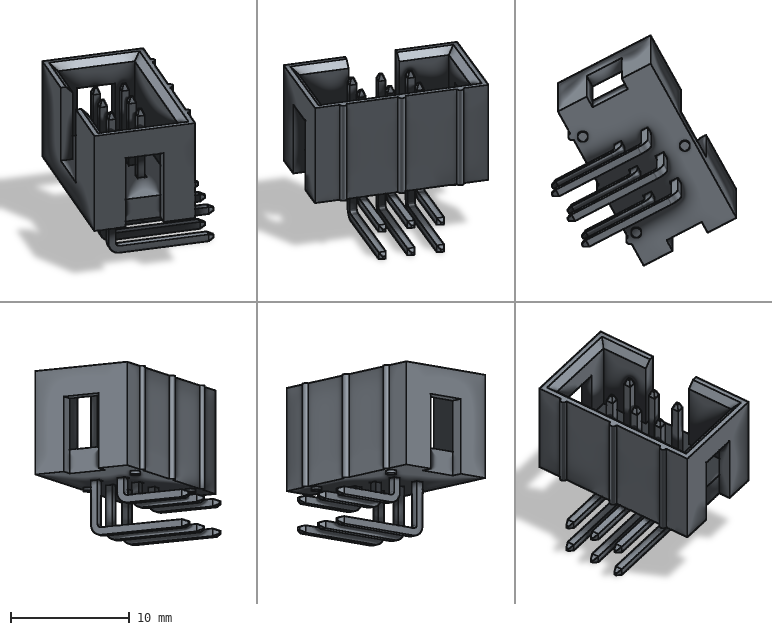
import cadquery as cq

length = 15.28
depth = 8.85
height = 8.85
wall = 1.05
floor_thickness = 2.05
mouth_chamfer = 0.6

notch_width = 4.45

window_width = 3.35
window_top = 6.42

rib_spacing = 5.15
center_rib_radius = 0.34
outer_rib_radius = 0.3

standoff_diameter = 0.87
standoff_height = 0.26
standoff_spacing = 4.75
standoff_offset_y = 3.59

pitch = 2.54
pin_width = 0.64
pin_tip_width = 0.25
pin_taper = 0.5
pin_top = 8.3
tail_bottom = -4.7
overall_depth = 12.12
tail_end = overall_depth - depth / 2
bend_inner_radius = pin_width / 2
bend_outer_radius = bend_inner_radius + pin_width

columns = [-pitch, 0.0, pitch]
front_row = -pitch / 2
back_row = pitch / 2
tail_bottoms = {front_row: tail_bottom, back_row: tail_bottom + pitch}
column_shifts = {-pitch: 0.0, 0.0: 0.15, pitch: 0.15}


def box(size_x, size_y, bottom, top, x=0.0, y=0.0):
    """Upright box centred on (x, y) between two heights."""
    return cq.Workplane("XY", origin=(x, y, bottom)).rect(size_x, size_y).extrude(top - bottom)


def cylinder(x, y, radius, bottom, top):
    """Upright cylinder between two heights."""
    return cq.Workplane("XY", origin=(x, y, bottom)).circle(radius).extrude(top - bottom)


def make_shell():
    """Open-topped box with a bevelled mouth."""
    cavity_length = length - 2 * wall
    cavity_depth = depth - 2 * wall
    cavity = box(cavity_length, cavity_depth, floor_thickness, height)
    mouth = (
        cq.Workplane("XY", origin=(0, 0, height - mouth_chamfer))
        .rect(cavity_length, cavity_depth)
        .workplane(offset=mouth_chamfer)
        .rect(cavity_length + 2 * mouth_chamfer, cavity_depth + 2 * mouth_chamfer)
        .loft(ruled=True)
    )
    return box(length, depth, 0, height).cut(cavity).cut(mouth)


def make_housing():
    """Shell with its notch, windows, ribs, standoffs and pin holes."""
    housing = make_shell()

    notch = box(notch_width, wall, floor_thickness, height, y=(wall - depth) / 2)
    housing = housing.cut(notch)

    for side in (-1, 1):
        window = box(wall, window_width, 0, window_top, x=side * (length - wall) / 2)
        housing = housing.cut(window)

    housing = housing.union(cylinder(0, depth / 2, center_rib_radius, 0, height))
    for x in (-rib_spacing, rib_spacing):
        housing = housing.union(cylinder(x, depth / 2, outer_rib_radius, 0, height))

    standoff_centers = [
        (0, -standoff_offset_y),
        (-standoff_spacing, standoff_offset_y),
        (standoff_spacing, standoff_offset_y),
    ]
    for x, y in standoff_centers:
        housing = housing.union(cylinder(x, y, standoff_diameter / 2, -standoff_height, 0))

    for x in columns:
        shift = column_shifts[x]
        for y in (front_row, back_row):
            hole = box(pin_width, pin_width + shift, 0, floor_thickness, x=x, y=y - shift / 2)
            housing = housing.cut(hole)
    return housing


def make_pin_tip(plane):
    """Square tapered point growing from the origin of a plane."""
    return (
        cq.Workplane(plane)
        .rect(pin_width, pin_width)
        .workplane(offset=pin_taper)
        .rect(pin_tip_width, pin_tip_width)
        .loft(ruled=True)
    )


def make_pin(x, row_y, shift):
    """L-shaped pin: upright leg, rounded bend and a tail toward +Y."""
    bottom = tail_bottoms[row_y]
    front = row_y - pin_width / 2
    back = row_y + pin_width / 2
    tail_top = bottom + pin_width
    leg_top = pin_top - pin_taper
    shoulder = tail_end - pin_taper
    bend_y = back + bend_inner_radius
    bend_z = tail_top + bend_inner_radius

    bar = (
        cq.Workplane("YZ", origin=(-pin_width / 2, 0, 0))
        .moveTo(front, leg_top)
        .lineTo(front, bend_z)
        .radiusArc((bend_y, bottom), -bend_outer_radius)
        .lineTo(shoulder, bottom)
        .lineTo(shoulder, tail_top)
        .lineTo(bend_y, tail_top)
        .radiusArc((back, bend_z), bend_inner_radius)
        .lineTo(back, leg_top)
        .close()
        .extrude(pin_width)
    )
    leg_plane = cq.Plane(origin=(0, row_y, leg_top), xDir=(1, 0, 0), normal=(0, 0, 1))
    tail_plane = cq.Plane(origin=(0, shoulder, bottom + pin_width / 2), xDir=(1, 0, 0), normal=(0, 1, 0))
    pin = bar.union(make_pin_tip(leg_plane)).union(make_pin_tip(tail_plane))
    return pin.translate((x, -shift, 0))


housing = make_housing()
pins = [make_pin(x, y, column_shifts[x]) for x in columns for y in (front_row, back_row)]

result = cq.Compound.makeCompound([housing.val(), *[pin.val() for pin in pins]])